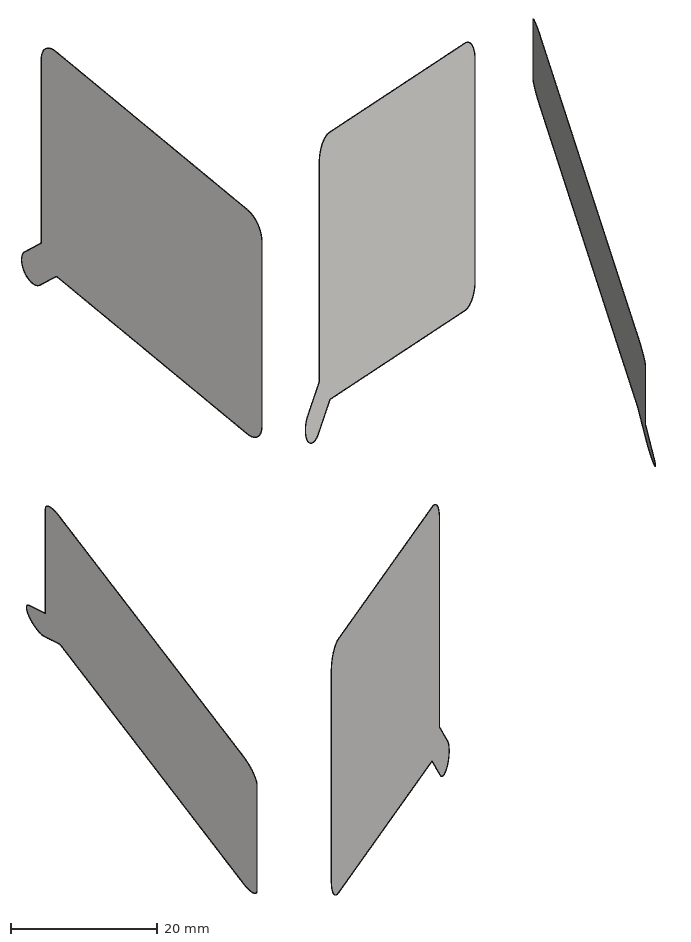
import cadquery as cq

total_length = 56.0
total_height = 43.0
thickness = 0.03

corner_radius = 3.35
tab_radius = 2.5
tab_overhang = 4.6

sheet_length = total_length - tab_overhang
sheet_height = total_height - tab_overhang
tab_offset = tab_overhang - tab_radius
tab_root = tab_radius * 2
tab_angle = 45


def make_sheet():
    """Thin rectangle with rounded corners, lower left corner at the origin."""
    return (
        cq.Workplane("XZ")
        .rect(sheet_length, sheet_height)
        .extrude(thickness)
        .edges("|Y")
        .fillet(corner_radius)
        .translate((sheet_length / 2, 0, sheet_height / 2))
    )


def make_tab():
    """Round-ended strip running diagonally out of the lower left corner."""
    center_distance = (tab_root + tab_offset) * 2**0.5
    middle = (tab_root - tab_offset) / 2
    return (
        cq.Workplane("XZ")
        .center(middle, middle)
        .slot2D(center_distance + 2 * tab_radius, 2 * tab_radius, tab_angle)
        .extrude(thickness)
    )


result = make_sheet().union(make_tab())